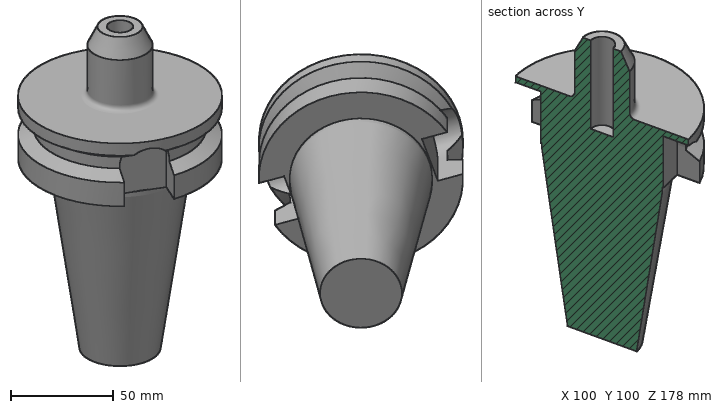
import cadquery as cq

total_height = 178.0
gauge_z = 101.8
flange_bottom_z = 104.8
lower_rim_top_z = 118.0
groove_bottom_z = 121.8
groove_top_z = 128.2
upper_rim_bottom_z = 133.0
flange_top_z = 139.7
nose_shoulder_z = 167.9

gauge_radius = 34.9
taper_per_length = 7 / 24
tail_radius = gauge_radius - gauge_z * taper_per_length / 2
flange_radius = 50.0
groove_radius = 42.4
nose_radius = 16.0
nose_tip_radius = 11.0
nose_fillet = 3.0

bore_diameter = 12.8
bore_depth = 53.4

slot_width = 25.5
slot_top_z = 135.8
slot_floor_x = 35.5


def holder_body():
    """Revolve the taper, grooved flange and nose about Z."""
    profile = (
        cq.Workplane("XZ")
        .moveTo(0, 0)
        .lineTo(tail_radius, 0)
        .lineTo(gauge_radius, gauge_z)
        .lineTo(gauge_radius, flange_bottom_z)
        .lineTo(flange_radius, flange_bottom_z)
        .lineTo(flange_radius, lower_rim_top_z)
        .lineTo(groove_radius, groove_bottom_z)
        .lineTo(groove_radius, groove_top_z)
        .lineTo(flange_radius, upper_rim_bottom_z)
        .lineTo(flange_radius, flange_top_z)
        .lineTo(nose_radius + nose_fillet, flange_top_z)
        .radiusArc((nose_radius, flange_top_z + nose_fillet), nose_fillet)
        .lineTo(nose_radius, nose_shoulder_z)
        .lineTo(nose_tip_radius, total_height)
        .lineTo(0, total_height)
        .close()
    )
    return profile.revolve(360, (0, 0, 0), (0, 1, 0))


def drive_slot(side):
    """Round-topped cutter, open downward, for the slot on the given X side."""
    slot_radius = slot_width / 2
    arc_center_z = slot_top_z - slot_radius
    return (
        cq.Workplane("YZ", origin=(side * slot_floor_x, 0, 0))
        .moveTo(-slot_radius, flange_bottom_z)
        .lineTo(slot_radius, flange_bottom_z)
        .lineTo(slot_radius, arc_center_z)
        .threePointArc((0, slot_top_z), (-slot_radius, arc_center_z))
        .close()
        .extrude(side * flange_radius)
    )


result = holder_body()
result = result.faces(">Z").workplane().hole(bore_diameter, bore_depth)
for side in (-1, 1):
    result = result.cut(drive_slot(side))